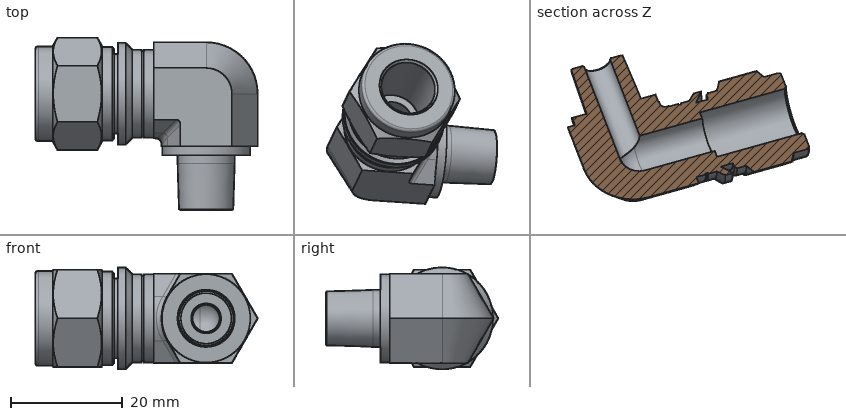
import cadquery as cq
import math


overall_length = 39.77
overall_width = 30.85
body_flats = 16.0
body_leg = 9.4
inner_fillet = 0.95
tolerance = 0.0005

nut_flats = 17.4
nut_collar_diameter = 17.0
nut_rear_diameter = 16.8
collar_length = 3.1
hex_end = 11.97
nut_end = 14.1
nut_edge_chamfer = 0.4
nut_edge_fillet = 0.5
hex_chamfer_length = 0.87

neck_diameter = 14.28
flange_diameter = 18.25
shank_diameter = 15.8
flange_start = 14.75
flange_thickness = 1.4
flange_rim = 0.2
flange_recess_depth = 1.5
groove_start = 19.0
groove_width = 0.4
groove_depth = 0.25

disc_thickness = 1.65
stub_diameter = 10.25
stub_tip_diameter = 9.75
stub_straight_length = 1.35
tip_chamfer_length = 0.15
tip_chamfer_depth = 0.35

tube_socket_diameter = 9.75
tube_socket_depth = 16.3
tube_bore_diameter = 7.1
pipe_bore_diameter = 4.8
bore_chamfer = 0.45
pipe_mouth_chamfer = 0.28

nut_corner_radius = nut_flats / math.sqrt(3)
body_corner_radius = body_flats / math.sqrt(3)
shank_radius = shank_diameter / 2
tube_face_x = body_corner_radius - overall_length
pipe_tip_y = nut_corner_radius - overall_width
disc_face_y = -body_leg - disc_thickness
bore_sphere_x = (pipe_bore_diameter - tube_bore_diameter) / 2


def turn_about_x(profile):
    """Turn (distance from the tube face, radius) points about the tube axis."""
    points = [(tube_face_x + distance, radius) for distance, radius in profile]
    return cq.Workplane("XY").polyline(points).close().revolve(360, (0, 0), (1, 0))


def turn_about_y(profile):
    """Turn (radius, Y) points about the pipe axis."""
    return cq.Workplane("XY").polyline(profile).close().revolve(360, (0, 0), (0, 1))


def leg(plane, inner_side, length):
    """Hexagonal leg, with the corner facing the inside of the elbow rounded."""
    flat_radius = body_flats / 2
    half_side = body_corner_radius / 2
    tangent_offset = flat_radius * math.cos(math.radians(30))
    tangent_height = flat_radius * math.sin(math.radians(30))
    return (
        cq.Workplane(plane)
        .moveTo(inner_side * tangent_offset, tangent_height)
        .lineTo(inner_side * half_side, flat_radius)
        .lineTo(-inner_side * half_side, flat_radius)
        .lineTo(-inner_side * body_corner_radius, 0)
        .lineTo(-inner_side * half_side, -flat_radius)
        .lineTo(inner_side * half_side, -flat_radius)
        .lineTo(inner_side * tangent_offset, -tangent_height)
        .threePointArc((inner_side * flat_radius, 0), (inner_side * tangent_offset, tangent_height))
        .close()
        .extrude(length)
    )


def elbow_body():
    """Two hexagonal legs joined by a half hexagon swung around the outer corner."""
    tube_leg = leg("YZ", -1, -body_leg)
    pipe_leg = leg("XZ", -1, body_leg)
    flat_radius = body_flats / 2
    corner = (
        cq.Workplane("XZ")
        .polyline([
            (0, -flat_radius),
            (body_corner_radius / 2, -flat_radius),
            (body_corner_radius, 0),
            (body_corner_radius / 2, flat_radius),
            (0, flat_radius),
        ])
        .close()
        .revolve(90, (0, 0), (0, 1))
    )
    legs = tube_leg.union(pipe_leg)
    crease = [
        edge for edge in legs.edges().vals()
        if all(abs(point.x - point.y) < tolerance and point.x < 0 for point in edge.positions((0, 0.5, 1)))
    ]
    legs = legs.newObject(crease).fillet(inner_fillet)
    return legs.union(corner)


def nut_and_shank():
    collar_radius = nut_collar_diameter / 2
    rear_radius = nut_rear_diameter / 2
    flange_radius = flange_diameter / 2
    flange_end = flange_start + flange_thickness
    cone_end = flange_end + flange_radius - shank_radius
    groove_end = groove_start + groove_width
    groove_radius = shank_radius - groove_depth
    shank_end = -body_leg - tube_face_x
    turned = turn_about_x([
        (0, 0),
        (0, collar_radius),
        (collar_length, collar_radius),
        (hex_end, rear_radius),
        (nut_end - nut_edge_chamfer, rear_radius),
        (nut_end, rear_radius - nut_edge_chamfer),
        (nut_end, neck_diameter / 2),
        (flange_start + flange_recess_depth, neck_diameter / 2),
        (flange_start, flange_radius - flange_rim),
        (flange_start, flange_radius),
        (flange_end, flange_radius),
        (cone_end, shank_radius),
        (groove_start, shank_radius),
        (groove_start, groove_radius),
        (groove_end, groove_radius),
        (groove_end, shank_radius),
        (shank_end, shank_radius),
        (shank_end, 0),
    ])
    turned = turned.faces("<X").edges().fillet(nut_edge_fillet)
    hexagon = (
        cq.Workplane("YZ", origin=(tube_face_x + collar_length, 0, 0))
        .polygon(6, 2 * nut_corner_radius)
        .extrude(hex_end - collar_length)
    )
    chamfer_cones = turn_about_x([
        (collar_length, 0),
        (collar_length, collar_radius),
        (collar_length + hex_chamfer_length, nut_corner_radius),
        (hex_end - hex_chamfer_length, nut_corner_radius),
        (hex_end, collar_radius),
        (hex_end, 0),
    ])
    return turned.union(hexagon.intersect(chamfer_cones))


def pipe_stub():
    stub_radius = stub_diameter / 2
    tip_radius = stub_tip_diameter / 2
    return turn_about_y([
        (0, -body_leg),
        (shank_radius, -body_leg),
        (shank_radius, disc_face_y),
        (stub_radius, disc_face_y),
        (stub_radius, disc_face_y - stub_straight_length),
        (tip_radius, pipe_tip_y + tip_chamfer_length),
        (tip_radius - tip_chamfer_depth, pipe_tip_y),
        (0, pipe_tip_y),
    ])


def bores():
    socket_radius = tube_socket_diameter / 2
    tube_radius = tube_bore_diameter / 2
    pipe_radius = pipe_bore_diameter / 2
    tube_end = bore_sphere_x - tube_face_x
    tube_bore = turn_about_x([
        (0, 0),
        (0, socket_radius + bore_chamfer),
        (bore_chamfer, socket_radius),
        (tube_socket_depth, socket_radius),
        (tube_socket_depth, tube_radius),
        (tube_end, tube_radius),
        (tube_end, 0),
    ])
    sphere = cq.Workplane("XY").sphere(tube_radius).translate((bore_sphere_x, 0, 0))
    pipe_bore = turn_about_y([
        (0, pipe_tip_y),
        (pipe_radius + pipe_mouth_chamfer, pipe_tip_y),
        (pipe_radius, pipe_tip_y + pipe_mouth_chamfer),
        (pipe_radius, 0),
        (0, 0),
    ])
    return [tube_bore, sphere, pipe_bore]


result = elbow_body().union(nut_and_shank()).union(pipe_stub())
for bore in bores():
    result = result.cut(bore)